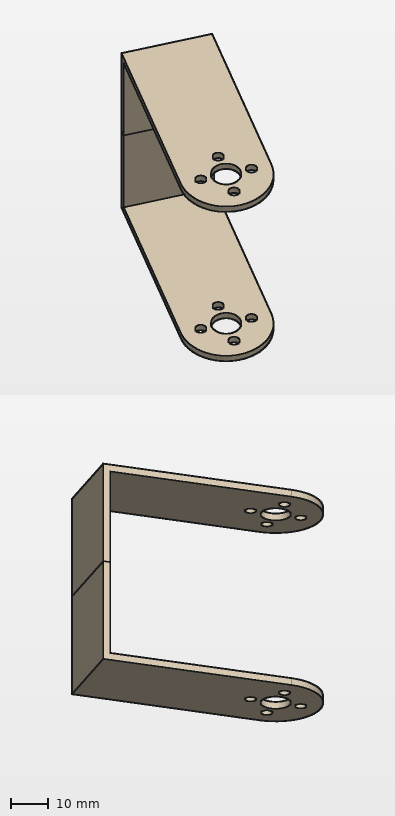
import cadquery as cq

length = 65.0
width = 25.0
height = 56.0
thickness = 2.0
center_hole_diameter = 8.0
screw_hole_diameter = 3.0
screw_circle_radius = 7.0
screw_count = 4

half_height = height / 2
end_radius = width / 2
hole_axis_x = length - end_radius


def arm_plate():
    """Plate on the XY plane with a rounded free end and its mounting holes."""
    plate = (
        cq.Workplane("XY")
        .moveTo(0, -end_radius)
        .lineTo(hole_axis_x, -end_radius)
        .threePointArc((length, 0), (hole_axis_x, end_radius))
        .lineTo(0, end_radius)
        .close()
        .extrude(thickness)
    )
    return (
        plate.faces(">Z")
        .workplane(origin=(hole_axis_x, 0, 0))
        .hole(center_hole_diameter)
        .faces(">Z")
        .workplane(origin=(hole_axis_x, 0, 0))
        .polarArray(screw_circle_radius, 0, 360, screw_count)
        .hole(screw_hole_diameter)
    )


def upper_bracket():
    """L-shaped bracket: a web rising from Z = 0 with the arm along its top."""
    web = cq.Workplane("XY").box(thickness, width, half_height, centered=(False, True, False))
    arm = arm_plate().translate((0, 0, half_height - thickness))
    return web.union(arm)


brackets = []
for flip_angle in (0, 180):
    bracket = upper_bracket().rotate((0, 0, 0), (1, 0, 0), flip_angle)
    brackets.append(bracket.val())

result = cq.Compound.makeCompound(brackets)